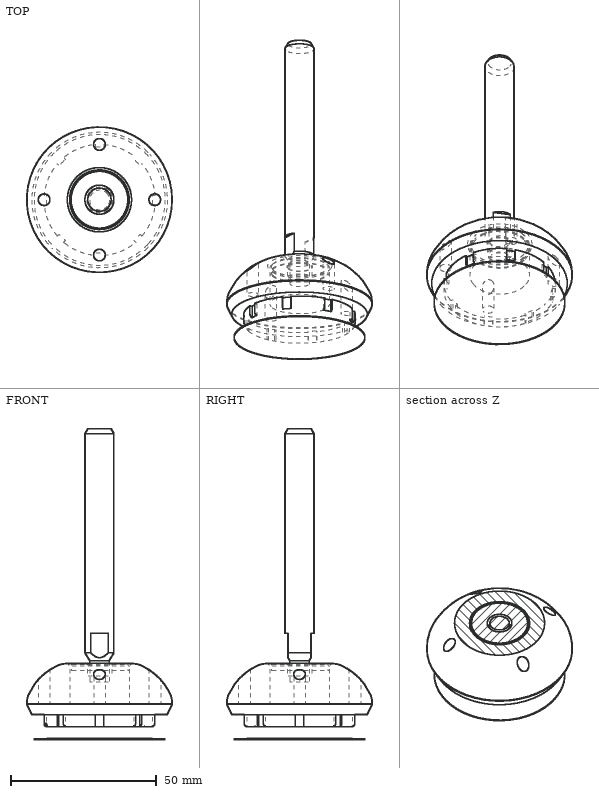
import cadquery as cq


foot_radius = 19.1
foot_height = 4.2
foot_bottom_fillet = 1.2
skirt_bottom_radius = 23.3
skirt_top = 7.7
base_radius = 25.0
land_height = 0.3
hub_radius = 20.5 / 2
groove_width = 0.5
groove_depth = 2.0

slot_count = 8
slot_width = 3.0
slot_back_radius = 18.2

bore_radius = 8.3 / 2
bore_mouth_radius = 8.8 / 2
bore_depth = 4.0
neck_seat_depth = 2.0

dome_bottom = skirt_top + land_height
bulge_mid_radius = 24.9
bulge_mid_height = 9.5
dome_arc_bottom_radius = 24.5
dome_arc_bottom_height = 10.9
dome_mid_radius = 20.6
dome_mid_height = 16.7
dome_arc_top_radius = 15.35
dome_arc_top_height = 20.6
shoulder_mid_radius = 13.3
shoulder_mid_height = 21.5
rim_radius = 11.05
rim_height = 21.8
rim_chamfer = rim_radius - hub_radius
hub_drop = 0.3
hub_top = rim_height - hub_drop

stud_count = 4
stud_radius = 4.0 / 2
stud_circle_radius = 19.0

spindle_radius = 5.0
spindle_top = 102.45
spindle_tip_radius = 4.0
spindle_tip_height = 1.7
spindle_cone_top = 25.4
spindle_cone_bottom = 22.8
neck_radius = 3.4
flat_top = 32.1
across_flats = 8.0

disc_radius = 22.5
disc_bottom = -4.44
disc_thickness = 0.4
disc_bevel_width = 0.6
disc_bevel_height = 0.1
pad_base_radius = 18.5
pad_top_radius = 17.4
pad_rise = 0.1

bore_floor = hub_top - bore_depth
neck_bottom = bore_floor - neck_seat_depth


def cylinder(radius, bottom, top):
    return cq.Workplane("XY").workplane(offset=bottom).circle(radius).extrude(top - bottom)


def revolve_about_z(profile):
    return profile.close().revolve(360, (0, 0, 0), (0, 1, 0))


def dome_solid():
    return revolve_about_z(
        cq.Workplane("XZ")
        .moveTo(hub_radius, dome_bottom)
        .lineTo(base_radius, dome_bottom)
        .threePointArc(
            (bulge_mid_radius, bulge_mid_height), (dome_arc_bottom_radius, dome_arc_bottom_height)
        )
        .threePointArc(
            (dome_mid_radius, dome_mid_height), (dome_arc_top_radius, dome_arc_top_height)
        )
        .threePointArc((shoulder_mid_radius, shoulder_mid_height), (rim_radius, rim_height))
        .lineTo(hub_radius, rim_height - rim_chamfer)
    )


def stud_columns():
    return (
        cq.Workplane("XY")
        .workplane(offset=dome_bottom)
        .polarArray(stud_circle_radius, 0, 360, stud_count)
        .circle(stud_radius)
        .extrude(rim_height - dome_bottom)
    )


def build_dome():
    return dome_solid().cut(stud_columns())


def foot_with_slots():
    foot = cylinder(foot_radius, 0, foot_height).faces("<Z").edges().fillet(foot_bottom_fillet)
    slot_length = foot_radius - slot_back_radius
    slot = (
        cq.Workplane("XY")
        .center(slot_back_radius + slot_length, 0)
        .rect(2 * slot_length, slot_width)
        .extrude(foot_height)
    )
    for i in range(slot_count):
        foot = foot.cut(slot.rotate((0, 0, 0), (0, 0, 1), i * 360 / slot_count))
    return foot


def skirt_with_hub():
    groove_inner_radius = hub_radius - groove_width
    groove_floor = hub_top - groove_depth
    return revolve_about_z(
        cq.Workplane("XZ")
        .moveTo(0, foot_height)
        .lineTo(skirt_bottom_radius, foot_height)
        .lineTo(base_radius, skirt_top)
        .lineTo(base_radius, dome_bottom)
        .lineTo(hub_radius, dome_bottom)
        .lineTo(hub_radius, groove_floor)
        .lineTo(groove_inner_radius, groove_floor)
        .lineTo(groove_inner_radius, hub_top)
        .lineTo(bore_mouth_radius, hub_top)
        .lineTo(bore_radius, hub_top - (bore_mouth_radius - bore_radius))
        .lineTo(bore_radius, bore_floor)
        .lineTo(neck_radius, bore_floor)
        .lineTo(neck_radius, neck_bottom)
        .lineTo(0, neck_bottom)
    )


def build_base():
    studs = stud_columns().intersect(dome_solid())
    return skirt_with_hub().union(foot_with_slots()).union(studs)


def build_spindle():
    spindle = revolve_about_z(
        cq.Workplane("XZ")
        .moveTo(0, neck_bottom)
        .lineTo(neck_radius, neck_bottom)
        .lineTo(neck_radius, spindle_cone_bottom)
        .lineTo(spindle_radius, spindle_cone_top)
        .lineTo(spindle_radius, spindle_top - spindle_tip_height)
        .lineTo(spindle_tip_radius, spindle_top)
        .lineTo(0, spindle_top)
    )
    flat_height = flat_top - neck_bottom
    for side in (-1, 1):
        cutter = cq.Workplane("XY").box(
            2 * spindle_radius, spindle_radius, flat_height, centered=(True, True, False)
        )
        offset_y = side * (across_flats + spindle_radius) / 2
        spindle = spindle.cut(cutter.translate((0, offset_y, neck_bottom)))
    return spindle


def build_disc():
    disc_top = disc_bottom + disc_thickness
    return revolve_about_z(
        cq.Workplane("XZ")
        .moveTo(0, disc_bottom)
        .lineTo(disc_radius, disc_bottom)
        .lineTo(disc_radius, disc_top - disc_bevel_height)
        .lineTo(disc_radius - disc_bevel_width, disc_top)
        .lineTo(pad_base_radius, disc_top)
        .lineTo(pad_top_radius, disc_top + pad_rise)
        .lineTo(0, disc_top + pad_rise)
    )


base = build_base()
dome = build_dome()
spindle = build_spindle()
disc = build_disc()

result = cq.Compound.makeCompound([base.val(), dome.val(), spindle.val(), disc.val()])